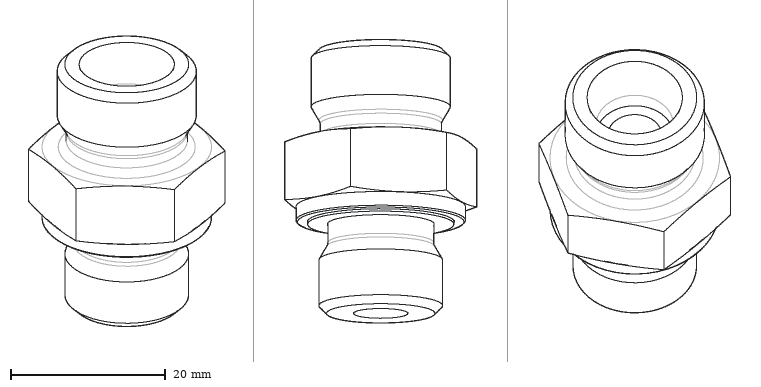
import cadquery as cq
import math

total_height = 34.5
stud_length = 12.0
collar_height = 2.0
hex_height = 8.5
collar_bottom = stud_length
hex_bottom = collar_bottom + collar_height
hex_top = hex_bottom + hex_height

hex_across_flats = 22.0
hex_across_corners = hex_across_flats / math.cos(math.radians(30))
hex_face_diameter = 21.9
hex_chamfer_angle = 15.0

collar_diameter = 21.9
collar_chamfer = 0.2

stud_diameter = 16.0
stud_relief_diameter = 13.7
stud_cylinder_length = 7.0
tube_end_diameter = 18.0
tube_relief_diameter = 15.7
tube_cylinder_length = 7.4
thread_chamfer = 1.0
relief_angle = 30.0
relief_radius = 1.0

bore_diameter = 7.0
tube_seat_diameter = 10.0
tube_seat_depth = 7.5
cone_mouth_diameter = 12.3
cone_half_angle = 12.0

seal_outer_diameter = 18.9
seal_inner_diameter = 13.8
seal_height = 1.5
seal_protrusion = 0.3
seal_recess_diameter = 19.0
seal_recess_depth = seal_height - seal_protrusion


def cylinder(diameter, bottom, top):
    """Cylinder on the Z axis between two heights."""
    return cq.Workplane("XY").workplane(offset=bottom).circle(diameter / 2).extrude(top - bottom)


def threaded_end(diameter, relief_diameter, length, cylinder_length, root_radius):
    """Threaded end standing on Z = 0, with a relief groove at its root and a chamfer at its tip."""
    radius = diameter / 2
    relief = relief_diameter / 2
    slope = math.radians(relief_angle)
    cone_top = length - cylinder_length
    cone_bottom = cone_top - (radius - relief) / math.tan(slope)

    tangent = relief_radius * math.tan(slope / 2)
    arc_start = (relief, cone_bottom - tangent)
    arc_middle = (
        relief + relief_radius * (1 - math.cos(slope / 2)),
        arc_start[1] + relief_radius * math.sin(slope / 2),
    )
    arc_end = (relief + tangent * math.sin(slope), cone_bottom + tangent * math.cos(slope))

    outline = cq.Workplane("XZ").lineTo(relief + root_radius, 0)
    if root_radius > 0:
        outline = outline.radiusArc((relief, root_radius), root_radius)
    outline = (
        outline.lineTo(*arc_start)
        .threePointArc(arc_middle, arc_end)
        .lineTo(radius, cone_top)
        .lineTo(radius, length - thread_chamfer)
        .lineTo(radius - thread_chamfer, length)
        .lineTo(0, length)
        .close()
    )
    return outline.revolve(360, (0, 0, 0), (0, 1, 0))


def chamfered_hexagon():
    """Hexagon with corners on the Y axis and its corners turned off at both faces."""
    prism = (
        cq.Workplane("XY")
        .workplane(offset=hex_bottom)
        .polygon(6, hex_across_corners)
        .extrude(hex_height)
        .rotate((0, 0, 0), (0, 0, 1), 30)
    )
    face_radius = hex_face_diameter / 2
    corner_radius = hex_across_corners / 2
    drop = (corner_radius - face_radius) * math.tan(math.radians(hex_chamfer_angle))
    turned_envelope = (
        cq.Workplane("XZ")
        .moveTo(0, hex_bottom)
        .lineTo(face_radius, hex_bottom)
        .lineTo(corner_radius, hex_bottom + drop)
        .lineTo(corner_radius, hex_top - drop)
        .lineTo(face_radius, hex_top)
        .lineTo(0, hex_top)
        .close()
        .revolve(360, (0, 0, 0), (0, 1, 0))
    )
    return prism.intersect(turned_envelope)


def sealing_collar():
    """Round collar under the hexagon, chamfered on its lower rim."""
    return cylinder(collar_diameter, collar_bottom, hex_bottom).faces("<Z").chamfer(collar_chamfer)


def bore():
    """Through bore with a tube seat and a conical mouth at the top end."""
    seat_radius = tube_seat_diameter / 2
    mouth_radius = cone_mouth_diameter / 2
    cone_depth = (mouth_radius - seat_radius) / math.tan(math.radians(cone_half_angle))
    seat_bottom = total_height - tube_seat_depth
    return (
        cq.Workplane("XZ")
        .lineTo(bore_diameter / 2, 0)
        .lineTo(bore_diameter / 2, seat_bottom)
        .lineTo(seat_radius, seat_bottom)
        .lineTo(seat_radius, total_height - cone_depth)
        .lineTo(mouth_radius, total_height)
        .lineTo(0, total_height)
        .close()
        .revolve(360, (0, 0, 0), (0, 1, 0))
    )


def seal_recess():
    """Ring-shaped recess in the collar face around the stud."""
    recess_top = collar_bottom + seal_recess_depth
    outer = cylinder(seal_recess_diameter, collar_bottom, recess_top)
    return outer.cut(cylinder(stud_relief_diameter, collar_bottom, recess_top))


def make_fitting():
    """Fitting body: tube end, hexagon, collar and stud end with a bore through all of them."""
    tube_end = threaded_end(
        tube_end_diameter, tube_relief_diameter, total_height - hex_top, tube_cylinder_length, relief_radius
    ).translate((0, 0, hex_top))
    stud_end = (
        threaded_end(stud_diameter, stud_relief_diameter, stud_length, stud_cylinder_length, 0)
        .rotate((0, 0, 0), (1, 0, 0), 180)
        .translate((0, 0, stud_length))
    )
    solid = chamfered_hexagon().union(sealing_collar()).union(tube_end).union(stud_end)
    return solid.cut(bore()).cut(seal_recess())


def make_seal_ring():
    """Seal ring resting on the floor of its recess and standing proud of the collar face."""
    bottom = collar_bottom - seal_protrusion
    top = bottom + seal_height
    return cylinder(seal_outer_diameter, bottom, top).cut(cylinder(seal_inner_diameter, bottom, top))


fitting = make_fitting()
seal_ring = make_seal_ring()

result = cq.Compound.makeCompound([fitting.val(), seal_ring.val()])